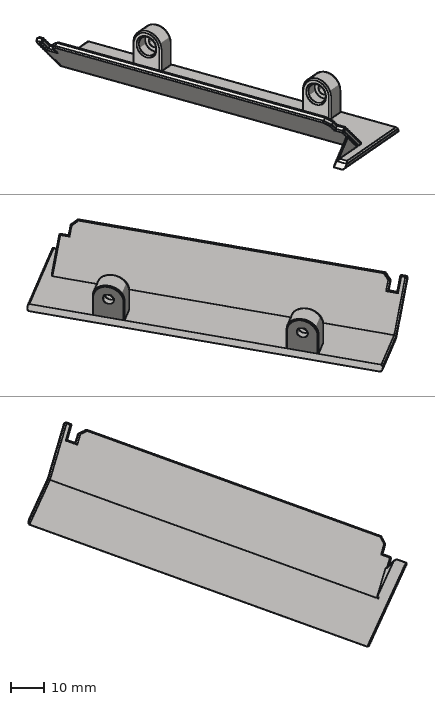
import cadquery as cq
import math

length = 110.0
depth = 30.7
thickness = 2.0
bevel = 0.5
back_taper = 1.0
crease_y = 15.2

height = 14.5
flap_end = 106.8
prong_width = 2.2
tab_start = 5.0
tab_end = 104.0
notch_depth = 5.2
tab_corner = 2.0
tip_bevel = 0.3
slope = math.radians(45)

gusset_start = 105.9

lug_width = 10.0
lug_depth = 6.0
lug_axis_z = 9.0
lug_back_bevel = 0.3
lug_centers = (25.0, 85.0)
bore_diameter = 6.0
bore_depth = 4.0
pin_hole_diameter = 3.4

outer_crease_y = crease_y - thickness * math.tan(slope / 2)
lug_back_y = depth - back_taper
flap_length = (height - thickness) / math.sin(slope) + bevel


def extrude_x(points, start, end):
    """Extrude a closed (y, z) outline from x = start to x = end."""
    return cq.Workplane("YZ", origin=(start, 0, 0)).polyline(points).close().extrude(end - start)


def make_base():
    outline = [
        (outer_crease_y, 0),
        (depth, 0),
        (lug_back_y, thickness),
        (crease_y, thickness),
    ]
    base = extrude_x(outline, 0, length)
    return base.faces("<X or >X").edges("|Y").chamfer(bevel)


def make_flap():
    """Bent-up plate with a slotted, bevelled free edge."""
    inner_face = cq.Plane(
        origin=(0, crease_y, thickness),
        xDir=(1, 0, 0),
        normal=(0, -math.sin(slope), -math.cos(slope)),
    )
    notch_floor = flap_length - notch_depth
    root = -thickness
    outline = [
        (0, root),
        (0, flap_length - tip_bevel),
        (tip_bevel, flap_length),
        (prong_width - tip_bevel, flap_length),
        (prong_width, flap_length - tip_bevel),
        (prong_width, notch_floor),
        (tab_start, notch_floor),
        (tab_start, flap_length - tab_corner),
        (tab_start + tab_corner, flap_length),
        (tab_end - tab_corner, flap_length),
        (tab_end, flap_length - tab_corner),
        (tab_end, notch_floor),
        (flap_end - tip_bevel, notch_floor),
        (flap_end, notch_floor - tip_bevel),
        (flap_end, root),
    ]
    plate = cq.Workplane(inner_face).polyline(outline).close().extrude(thickness)
    plate = plate.faces("<(0,-1,-1) or >(0,-1,-1)").edges().chamfer(bevel)
    mitre_slope = math.tan(slope / 2)
    reach = 2 * height
    keep = [
        (crease_y + reach * mitre_slope, thickness + reach),
        (outer_crease_y - reach * mitre_slope, -reach),
        (-reach, -reach),
        (-reach, thickness + reach),
    ]
    return plate.intersect(extrude_x(keep, 0, length))


def make_foot():
    """Forward strip of the base beside the flap, with a sloped toe."""
    outline = [
        (0, 0),
        (crease_y, 0),
        (crease_y, thickness),
        (thickness + bevel, thickness),
        (thickness - bevel, thickness - bevel),
    ]
    foot = extrude_x(outline, gusset_start + bevel, length)
    return foot.faces(">X").edges("|Y").chamfer(bevel)


def make_gusset():
    """Triangular web square to the underside of the flap."""
    peak = outer_crease_y / 2
    outline = [(0, 0), (outer_crease_y, 0), (peak, peak)]
    gusset = extrude_x(outline, gusset_start, flap_end)
    return gusset.faces("<(0,1,-1)").edges("<X").chamfer(bevel)


def make_lug(center_x):
    """Round-topped block standing at the back of the base."""
    half = lug_width / 2
    front = cq.Workplane("XZ", origin=(center_x, lug_back_y, lug_axis_z))
    drop = -lug_axis_z + thickness / 2
    lug = (
        front.moveTo(-half, drop)
        .lineTo(-half, 0)
        .threePointArc((0, half), (half, 0))
        .lineTo(half, drop)
        .close()
        .extrude(lug_depth)
    )
    lug = lug.faces("<Y").edges("not(<Z)").chamfer(bevel)
    return lug.faces(">Y").edges("not(<Z)").chamfer(lug_back_bevel)


def make_bore(center_x):
    """Stepped cutter: wide blind bore with a flared mouth, small hole through."""
    front_y = lug_back_y - lug_depth
    mouth = cq.Workplane("XZ", origin=(center_x, front_y, lug_axis_z))
    radius = bore_diameter / 2
    wide = mouth.circle(radius).extrude(-bore_depth)
    flare = mouth.circle(radius + bevel).extrude(-bevel, taper=45)
    small = mouth.circle(pin_hole_diameter / 2).extrude(-lug_depth)
    return wide.union(flare).union(small)


result = make_base().union(make_flap()).union(make_foot()).union(make_gusset())
for lug_x in lug_centers:
    result = result.union(make_lug(lug_x)).cut(make_bore(lug_x))